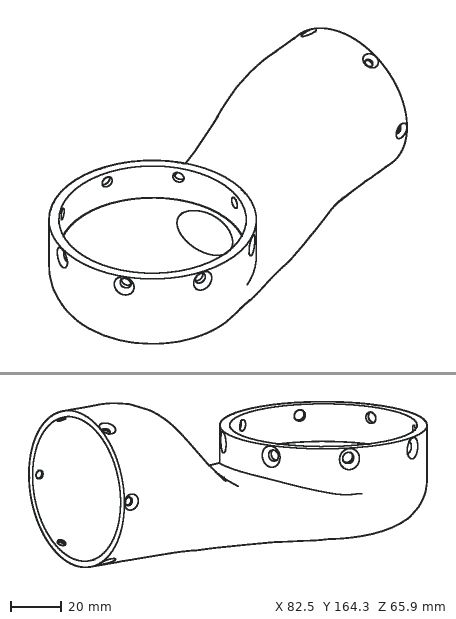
import cadquery as cq
import math


PART_LENGTH = 164.25
PART_HEIGHT = 65.82

TUBE_RADIUS = 63.0 / 2
TUBE_BORE_RADIUS = 58.0 / 2
TUBE_LENGTH = 13.0

CUP_RADIUS = 82.5 / 2
CUP_BORE_RADIUS = 74.5 / 2
CUP_HEIGHT = 43.0
CUP_WALL_HEIGHT = 19.0
BASE_EXPONENT = 2.8
BORE_DEPTH = 15.3
BORE_STEP = 0.25
FLOOR_RADIUS = 18.0

TUBE_END_Y = PART_LENGTH - CUP_RADIUS
TUBE_START_Y = TUBE_END_Y - TUBE_LENGTH
CUP_BOTTOM_Z = TUBE_RADIUS - PART_HEIGHT
CUP_RIM_Z = CUP_BOTTOM_Z + CUP_HEIGHT
CUP_BASE_Z = CUP_RIM_Z - CUP_WALL_HEIGHT
BORE_FLOOR_Z = CUP_RIM_Z - BORE_DEPTH

TUBE_HOLE_COUNT = 6
TUBE_HOLE_DIAMETER = 3.4
TUBE_SINK_DIAMETER = 6.5
TUBE_HOLE_INSET = 3.5
CUP_HOLE_COUNT = 8
CUP_HOLE_DIAMETER = 4.5
CUP_SINK_DIAMETER = 8.2
CUP_HOLE_INSET = 4.5
CUTTER_CLEARANCE = 2.0

SECTION_STEPS = 24

NECK_SECTIONS = [
    (0.0, 40.8, -8.5, CUP_BASE_Z, -33.9, BASE_EXPONENT),
    (10.0, 40.0, -7.1, -11.2, -33.7, 2.7),
    (20.0, 38.7, -5.7, -12.2, -33.3, 2.7),
    (30.0, 36.9, -4.3, -13.5, -32.5, 2.6),
    (40.0, 35.0, -4.2, -15.6, -31.5, 2.5),
    (50.0, 33.5, -5.6, -17.0, -31.0, 2.4),
    (60.0, 32.5, -0.6, -14.5, -31.2, 2.2),
    (70.0, 32.0, 8.0, -10.0, -TUBE_RADIUS, 2.1),
    (80.0, 31.6, 20.3, -4.7, -TUBE_RADIUS, 2.0),
    (90.0, TUBE_RADIUS, 28.6, -1.2, -TUBE_RADIUS, 2.0),
    (100.0, TUBE_RADIUS, 31.3, 0.0, -TUBE_RADIUS, 2.0),
    (TUBE_START_Y, TUBE_RADIUS, TUBE_RADIUS, 0.0, -TUBE_RADIUS, 2.0),
]

PASSAGE_SECTIONS = [
    (25.0, 14.3, -8.7, -16.4, -24.1, 2.0),
    (36.0, 14.6, -8.8, -16.6, -24.4, 2.0),
    (52.0, 20.0, -9.0, -17.5, -26.5, 2.0),
    (66.0, 25.0, 0.5, -12.0, -27.7, 2.0),
    (80.0, 27.8, 15.0, -5.0, -28.6, 2.0),
    (92.0, 28.8, 25.5, -1.0, -TUBE_BORE_RADIUS, 2.0),
    (101.0, TUBE_BORE_RADIUS, 28.7, 0.0, -TUBE_BORE_RADIUS, 2.0),
    (TUBE_START_Y, TUBE_BORE_RADIUS, TUBE_BORE_RADIUS, 0.0, -TUBE_BORE_RADIUS, 2.0),
]


def superellipse_point(half_width, half_height, exponent, angle):
    """Point of a superellipse centred on the origin."""
    cosine = math.cos(angle)
    sine = math.sin(angle)
    across = math.copysign(abs(cosine) ** (2 / exponent), cosine)
    up = math.copysign(abs(sine) ** (2 / exponent), sine)
    return half_width * across, half_height * up


def section_wire(y, half_width, top_z, widest_z, bottom_z, lower_exponent):
    """Closed section in the plane at y: an elliptical top on a superelliptical bottom."""
    points = []
    for index in range(SECTION_STEPS):
        angle = 2 * math.pi * index / SECTION_STEPS
        is_upper = index <= SECTION_STEPS // 2
        half_height = top_z - widest_z if is_upper else widest_z - bottom_z
        exponent = 2.0 if is_upper else lower_exponent
        x, rise = superellipse_point(half_width, half_height, exponent, angle)
        points.append(cq.Vector(x, y, widest_z + rise))
    parameters = list(range(SECTION_STEPS + 1))
    outline = cq.Edge.makeSpline(points, periodic=True, parameters=parameters)
    return cq.Wire.assembleEdges([outline])


def loft_sections(sections):
    wires = [section_wire(*section) for section in sections]
    solid = cq.occ_impl.shapes.loft(wires, cap=True, parametrization="uniform", continuity="C1")
    return cq.Workplane(solid)


def with_tube(sections):
    """Loft through the sections and continue the last one straight to the tube end."""
    last_wire = section_wire(*sections[-1])
    tube = cq.Solid.extrudeLinear(last_wire, [], cq.Vector(0, TUBE_LENGTH, 0))
    return loft_sections(sections).union(cq.Workplane(tube))


def cup_body():
    """Cylindrical cup wall on a flattened, rounded base."""
    base_height = CUP_BASE_Z - CUP_BOTTOM_Z
    steps = SECTION_STEPS // 4
    curve = []
    for index in range(1, steps + 1):
        angle = -math.pi / 2 * (1 - index / steps)
        radius, drop = superellipse_point(CUP_RADIUS, base_height, BASE_EXPONENT, angle)
        curve.append((radius, CUP_BASE_Z + drop))
    return (
        cq.Workplane("XZ")
        .moveTo(0, CUP_BOTTOM_Z)
        .spline(curve, tangents=[(1, 0), (0, 1)], includeCurrent=True)
        .lineTo(CUP_RADIUS, CUP_RIM_Z)
        .lineTo(0, CUP_RIM_Z)
        .close()
        .revolve(360, (0, 0), (0, 1))
    )


def cup_cavity():
    """Stepped bore above a bowl with a rounded edge and a flat round floor."""
    bowl_radius = CUP_BORE_RADIUS - BORE_STEP
    edge_radius = bowl_radius - FLOOR_RADIUS
    diagonal = edge_radius * math.sqrt(0.5)
    return (
        cq.Workplane("XZ")
        .moveTo(0, CUP_RIM_Z)
        .lineTo(CUP_BORE_RADIUS, CUP_RIM_Z)
        .lineTo(CUP_BORE_RADIUS, BORE_FLOOR_Z)
        .lineTo(bowl_radius, BORE_FLOOR_Z)
        .lineTo(bowl_radius, CUP_BASE_Z)
        .threePointArc(
            (FLOOR_RADIUS + diagonal, CUP_BASE_Z - diagonal),
            (FLOOR_RADIUS, CUP_BASE_Z - edge_radius),
        )
        .lineTo(0, CUP_BASE_Z - edge_radius)
        .close()
        .revolve(360, (0, 0), (0, 1))
    )


def countersunk_cutter(centre, outward, wall_radius, bore_radius, hole_diameter, sink_diameter):
    """Screw hole through a round wall, with a 90 degree countersink on the outside."""
    hole_radius = hole_diameter / 2
    sink_radius = sink_diameter / 2
    sink_top = math.sqrt(wall_radius**2 - sink_radius**2)
    sink_bottom = sink_top - (sink_radius - hole_radius)
    hole_start = bore_radius - CUTTER_CLEARANCE
    hole_length = sink_top - hole_start
    hole = cq.Solid.makeCylinder(hole_radius, hole_length, centre + outward * hole_start, outward)
    sink = cq.Solid.makeCone(
        hole_radius,
        sink_radius + CUTTER_CLEARANCE,
        sink_top + CUTTER_CLEARANCE - sink_bottom,
        centre + outward * sink_bottom,
        outward,
    )
    return cq.Workplane(hole).union(cq.Workplane(sink))


def drill_tube_holes(body):
    centre = cq.Vector(0, TUBE_END_Y - TUBE_HOLE_INSET, 0)
    for index in range(TUBE_HOLE_COUNT):
        angle = 2 * math.pi * index / TUBE_HOLE_COUNT
        outward = cq.Vector(math.cos(angle), 0, math.sin(angle))
        cutter = countersunk_cutter(
            centre, outward, TUBE_RADIUS, TUBE_BORE_RADIUS, TUBE_HOLE_DIAMETER, TUBE_SINK_DIAMETER
        )
        body = body.cut(cutter)
    return body


def drill_cup_holes(body):
    centre = cq.Vector(0, 0, CUP_RIM_Z - CUP_HOLE_INSET)
    for index in range(CUP_HOLE_COUNT):
        angle = 2 * math.pi * (index + 0.5) / CUP_HOLE_COUNT
        outward = cq.Vector(math.cos(angle), math.sin(angle), 0)
        cutter = countersunk_cutter(
            centre, outward, CUP_RADIUS, CUP_BORE_RADIUS, CUP_HOLE_DIAMETER, CUP_SINK_DIAMETER
        )
        body = body.cut(cutter)
    return body


outer = cup_body().union(with_tube(NECK_SECTIONS))
shell = outer.cut(cup_cavity()).cut(with_tube(PASSAGE_SECTIONS))
result = drill_cup_holes(drill_tube_holes(shell))